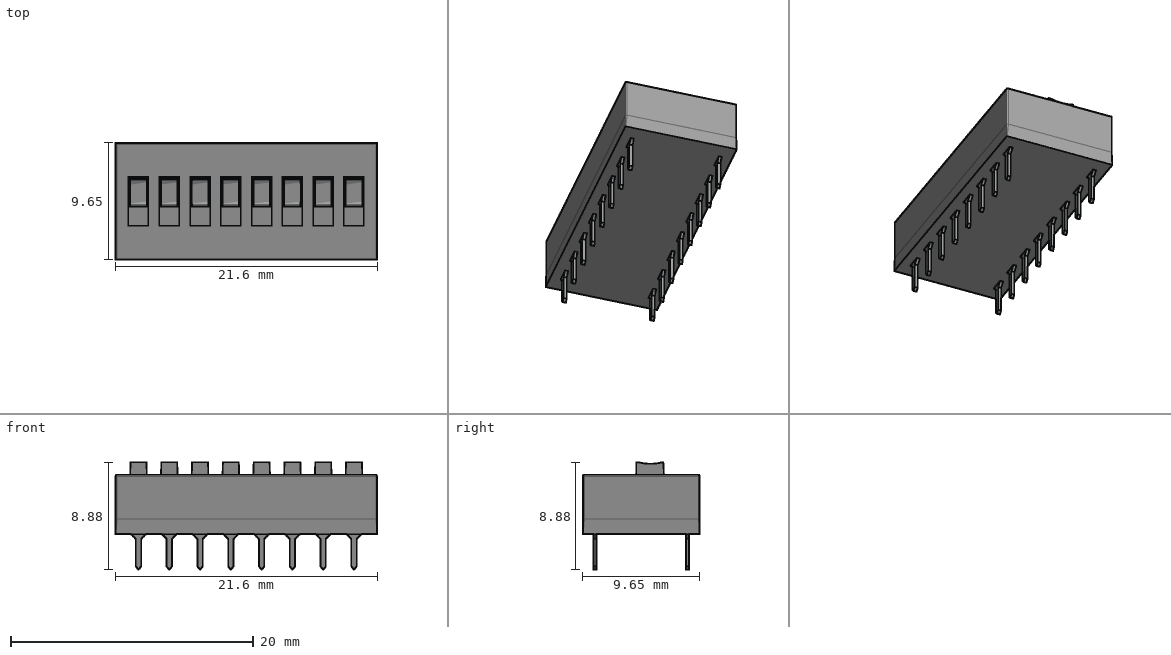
import cadquery as cq


HOUSING_LENGTH = 21.59
HOUSING_WIDTH = 9.65
HOUSING_HEIGHT = 4.9
SKIRT_HEIGHT = 1.27
SKIRT_FLARE = 0.005
EDGE_RADIUS = 0.12
FOOT_RADIUS = 0.005

SWITCH_COUNT = 8
PITCH = 2.54
SLOT_WIDTH = 1.65
SLOT_LENGTH = 4.05
SLOT_DEPTH = 0.76

OVERALL_HEIGHT = 8.88
ACTUATOR_RISE = 1.04
ACTUATOR_FOOT_WIDTH = 1.44
ACTUATOR_TOP_WIDTH = 1.33
ACTUATOR_FOOT_FRONT = -0.45
ACTUATOR_FOOT_BACK = 1.92
ACTUATOR_TOP_FRONT = -0.41
ACTUATOR_TOP_BACK = 1.83
HOLLOW_FRONT = -0.25
HOLLOW_BACK = 1.76
HOLLOW_DEPTH = 0.13

PIN_ROW_SPACING = 7.62
PIN_LENGTH = OVERALL_HEIGHT - HOUSING_HEIGHT - ACTUATOR_RISE
PIN_WIDTH = 0.46
PIN_THICKNESS = 0.27
PIN_TIP_HEIGHT = 0.27
SHOULDER_WIDTH = 1.24
SHOULDER_HEIGHT = 0.4

SLOT_FLOOR_Z = HOUSING_HEIGHT - SLOT_DEPTH
ACTUATOR_TOP_Z = HOUSING_HEIGHT + ACTUATOR_RISE
COVER_LENGTH = HOUSING_LENGTH - 2 * SKIRT_FLARE
COVER_WIDTH = HOUSING_WIDTH - 2 * SKIRT_FLARE
SWITCH_XS = [(i - (SWITCH_COUNT - 1) / 2) * PITCH for i in range(SWITCH_COUNT)]


def rounded_rectangle(length, width, radius):
    return cq.Sketch().rect(length, width).vertices().fillet(radius)


def make_housing():
    """Cover with rounded edges above a flared skirt whose corners sharpen downwards."""
    cover_outline = rounded_rectangle(COVER_LENGTH, COVER_WIDTH, EDGE_RADIUS)
    foot_outline = rounded_rectangle(HOUSING_LENGTH, HOUSING_WIDTH, FOOT_RADIUS)
    cover = (
        cq.Workplane("XY", origin=(0, 0, SKIRT_HEIGHT))
        .placeSketch(cover_outline)
        .extrude(HOUSING_HEIGHT - SKIRT_HEIGHT)
        .faces(">Z")
        .edges()
        .fillet(EDGE_RADIUS)
    )
    raised_outline = cover_outline.moved(cq.Location(cq.Vector(0, 0, SKIRT_HEIGHT)))
    skirt = cq.Workplane("XY").placeSketch(foot_outline, raised_outline).loft(ruled=True)
    return cover.union(skirt)


def make_slot(x):
    return (
        cq.Workplane("XY", origin=(x, 0, SLOT_FLOOR_Z))
        .rect(SLOT_WIDTH, SLOT_LENGTH)
        .extrude(SLOT_DEPTH)
    )


def make_actuator(x):
    """Tapered block with a shallow cylindrical finger hollow in its top."""
    foot_y = (ACTUATOR_FOOT_FRONT + ACTUATOR_FOOT_BACK) / 2
    top_y = (ACTUATOR_TOP_FRONT + ACTUATOR_TOP_BACK) / 2
    block = (
        cq.Workplane("XY", origin=(x, 0, SLOT_FLOOR_Z))
        .center(0, foot_y)
        .rect(ACTUATOR_FOOT_WIDTH, ACTUATOR_FOOT_BACK - ACTUATOR_FOOT_FRONT)
        .workplane(offset=ACTUATOR_TOP_Z - SLOT_FLOOR_Z)
        .center(0, top_y - foot_y)
        .rect(ACTUATOR_TOP_WIDTH, ACTUATOR_TOP_BACK - ACTUATOR_TOP_FRONT)
        .loft(ruled=True)
    )
    hollow = (
        cq.Workplane("YZ", origin=(x, 0, 0))
        .moveTo(HOLLOW_FRONT, ACTUATOR_TOP_Z)
        .threePointArc(
            ((HOLLOW_FRONT + HOLLOW_BACK) / 2, ACTUATOR_TOP_Z - HOLLOW_DEPTH),
            (HOLLOW_BACK, ACTUATOR_TOP_Z),
        )
        .close()
        .extrude(ACTUATOR_FOOT_WIDTH, both=True)
    )
    return block.cut(hollow)


def make_pin(x, y):
    """Flat pin with a tapered shoulder under the housing and a wedge tip."""
    tip_start_z = PIN_TIP_HEIGHT - PIN_LENGTH
    return (
        cq.Workplane("XZ", origin=(x, y, 0))
        .moveTo(-SHOULDER_WIDTH / 2, 0)
        .lineTo(SHOULDER_WIDTH / 2, 0)
        .lineTo(PIN_WIDTH / 2, -SHOULDER_HEIGHT)
        .lineTo(PIN_WIDTH / 2, tip_start_z)
        .lineTo(0, -PIN_LENGTH)
        .lineTo(-PIN_WIDTH / 2, tip_start_z)
        .lineTo(-PIN_WIDTH / 2, -SHOULDER_HEIGHT)
        .close()
        .extrude(PIN_THICKNESS / 2, both=True)
    )


result = make_housing()
for switch_x in SWITCH_XS:
    result = result.cut(make_slot(switch_x)).union(make_actuator(switch_x))
    for pin_y in (-PIN_ROW_SPACING / 2, PIN_ROW_SPACING / 2):
        result = result.union(make_pin(switch_x, pin_y))